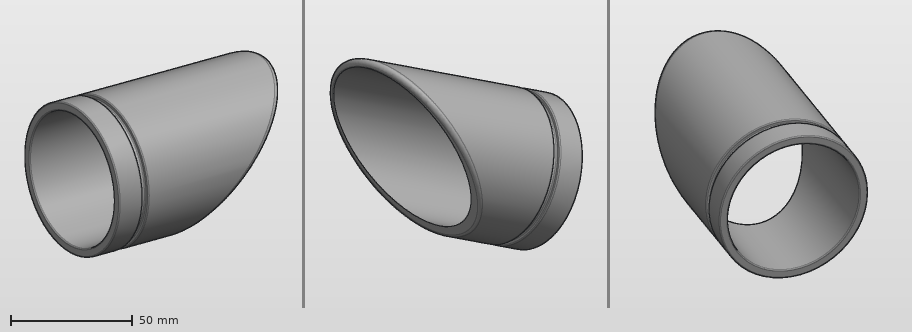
import cadquery as cq
import math

outer_diameter = 66.0
bore_diameter = 58.5
length = 97.3
outer_radius = outer_diameter / 2
end_rounding = 0.5

groove_diameter = 62.0
groove_start = 12.0
groove_width = 2.9
groove_rounding = 0.5
lip_margin = 0.1

cut_angle = 43.5
rim_rounding = 2.0
tip_half_angle = math.radians((90 - cut_angle) / 2)
sharp_length = length + rim_rounding / math.tan(tip_half_angle) - rim_rounding
cut_run = outer_diameter * math.tan(math.radians(cut_angle))


def cylinder_along_y(diameter, start, height):
    """Solid cylinder on the Y axis from start to start + height."""
    base = cq.Workplane("XZ", origin=(0, start, 0))
    return base.circle(diameter / 2).extrude(-height)


def slanted_body():
    """Solid bar with a slanted far end and a rounded outer rim."""
    bar = cylinder_along_y(outer_diameter, 0, sharp_length)
    waste = (
        cq.Workplane("YZ")
        .moveTo(sharp_length, outer_radius)
        .lineTo(sharp_length - cut_run, -outer_radius)
        .lineTo(sharp_length, -outer_radius)
        .close()
        .extrude(outer_radius, both=True)
    )
    return bar.cut(waste).faces(">Y").edges().fillet(rim_rounding)


def groove_ring():
    """Ring to remove for the groove, with rounded corners at its floor."""
    core = cylinder_along_y(groove_diameter, groove_start, groove_width)
    ring = cylinder_along_y(outer_diameter, groove_start, groove_width).cut(core)
    floor_edges = ring.edges(cq.selectors.RadiusNthSelector(0))
    return floor_edges.fillet(groove_rounding)


bore = cylinder_along_y(bore_diameter, 0, sharp_length)
pipe = slanted_body().cut(bore)
pipe = pipe.faces("<Y").edges().fillet(end_rounding)
pipe = pipe.cut(groove_ring())

lip_box = cq.selectors.BoxSelector(
    (-outer_radius, groove_start - lip_margin, -outer_radius),
    (outer_radius, groove_start + groove_width + lip_margin, outer_radius),
)
lip_edges = pipe.edges(lip_box).edges(cq.selectors.RadiusNthSelector(-1))
result = lip_edges.fillet(groove_rounding)